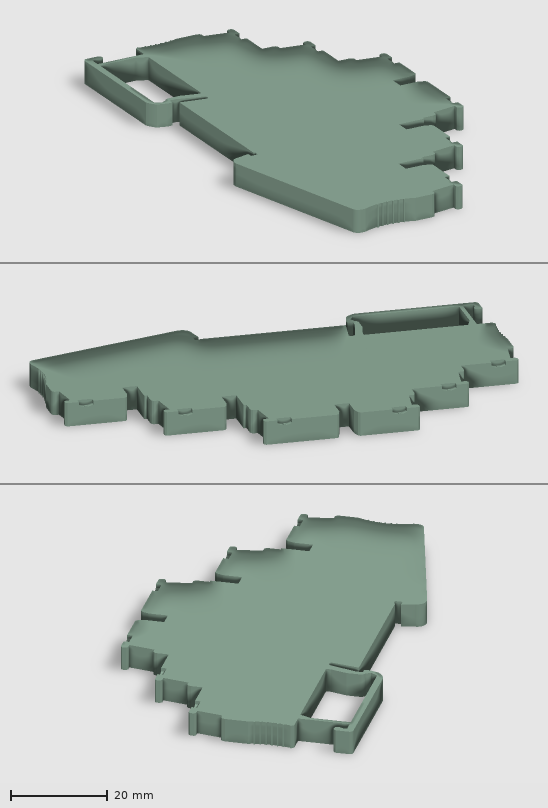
import cadquery as cq
import math

LENGTH = 99.5
THICKNESS = 5.2

LOW_TIER_TOP = 35.3
TIER_RISE = 10.6
LEFT_TIER_STEP = 13.49
RIGHT_TIER_STEP = 18.5
TIER_COUNT = 3

NECK_INSET = 2.4
NECK_TAPER = 0.9
LIP_HEIGHT = 1.6
LIP_REACH = 1.4
LIP_CHAMFER = 0.4
LEDGE_DROP = 7.2
LEDGE_ROUNDING_WIDTH = 0.5
LEDGE_ROUNDING_HEIGHT = 0.9

SLOT_WIDTH = 3.2
SLOT_DEPTH = 6.0
SLOT_WALL_STEP = 0.6
TOP_SLOT_LEFT = 41.7
SLOT_MOUTH_WIDTH = 0.9
SLOT_MOUTH_HEIGHT = 1.9

POCKET_WIDTH = 3.1
POCKET_LENGTH = 1.2
POCKET_OFFSET = 3.0
POCKET_EDGE_DEPTH = 0.8
POCKET_MIDDLE_DEPTH = 1.2
NUB_WIDTH = 0.6
NUB_LENGTH = 0.6
NUB_HEIGHT = 0.2

GRIP_TOP = 21.5
GRIP_BOTTOM = 13.2
LEFT_GRIP_EDGE = 0.3
LEFT_GRIP_DEPTH = 0.7
GRIP_LEAD_IN = 0.8
RIGHT_GRIP_TOP = 23.3
RIGHT_GRIP_BOTTOM = 11.3
RIGHT_GRIP_DEPTH = 1.2
RIB_COUNT = 6
RIB_PITCH = 1.23
FIRST_RIB = 14.8
RIB_WIDTH = 0.5
RIB_HEIGHT = 0.3

BODY_BOTTOM_LEFT = 12.5
BODY_BOTTOM = 6.1
CORNER_CHAMFER = 0.6

FOOT_LEFT = 61.7
FOOT_TOP = 4.8
FOOT_NOTCH_RIGHT = 62.9
FOOT_NOTCH_TOP = 6.4
NOSE_RADIUS = 2.0
NOSE_X = 64.4
SLOPE_START = 64.9
SLOPE_ANGLE = math.radians(15)
HEEL_RADIUS = 1.5

SLIT_END = 12.1
SLIT_END_LEFT = 30.1
SLIT_END_RIGHT = 31.4
SLIT_MOUTH_LEFT = 28.5
SLIT_MOUTH_RIGHT = 30.4
SLIT_MOUTH = 6.3

LEG_LEFT = 3.9
LEG_RIGHT = 4.8
GUSSET_WIDTH = 1.0
GUSSET_HEIGHT = 2.4
RAIL_TOP = 1.5
RAIL_END = 26.9
BARB_RIGHT = 29.7
HOOK_LEFT = 0.3
HOOK_TOP = 4.2
HOOK_RADIUS = 0.8
HOOK_EDGE_CHAMFER = 0.5
WEB_LEFT = 1.0
WEB_BOTTOM = 1.0
WEB_THICKNESS = 0.9
WEB_FILLET = 0.8


def tier_top(tier):
    return LOW_TIER_TOP + tier * TIER_RISE


def left_wall(tier):
    return tier * LEFT_TIER_STEP


def right_wall(tier):
    return LENGTH - tier * RIGHT_TIER_STEP


def tier_side(tier, wall, inward):
    """Points from the wall below the ledge up to the tier top; inward is +1 on the left, -1 on the right."""
    top = tier_top(tier)
    neck = wall + inward * NECK_INSET
    neck_foot = neck - inward * NECK_TAPER
    tip = neck - inward * LIP_REACH
    ledge = top - LEDGE_DROP
    return [
        (wall, ledge - LEDGE_ROUNDING_HEIGHT),
        (wall + inward * LEDGE_ROUNDING_WIDTH / 3, ledge - LEDGE_ROUNDING_HEIGHT / 3),
        (wall + inward * LEDGE_ROUNDING_WIDTH, ledge),
        (neck_foot, ledge),
        (neck, top - LIP_HEIGHT),
        (tip + inward * LIP_CHAMFER, top - LIP_HEIGHT),
        (tip, top - LIP_HEIGHT + LIP_CHAMFER),
        (tip, top - LIP_CHAMFER),
        (tip + inward * LIP_CHAMFER, top),
    ]


def slot_mouth(edge, top, outward):
    """Points of the sloped mouth of a slot wall, from the tier top down."""
    half = SLOT_MOUTH_WIDTH / 2
    return [
        (edge + outward * SLOT_MOUTH_WIDTH, top),
        (edge + outward * half, top - half),
        (edge, top - SLOT_MOUTH_HEIGHT),
    ]


def slot_right_side(left, top):
    """Points along the slot floor and up its right wall to the tier top."""
    floor = top - SLOT_DEPTH
    right = left + SLOT_WIDTH
    return [(left, floor), (right, floor)] + slot_mouth(right, top, 1)[::-1]


def stepped_outline():
    """Points over the tiers, from the lower left ledge to the lower right ledge."""
    points = []
    for tier in range(TIER_COUNT):
        wall = left_wall(tier)
        if tier > 0:
            points.append((wall, tier_top(tier - 1)))
        points += tier_side(tier, wall, 1)
    highest = TIER_COUNT - 1
    points += slot_mouth(TOP_SLOT_LEFT, tier_top(highest), -1)
    points += slot_right_side(TOP_SLOT_LEFT, tier_top(highest))
    for tier in range(highest, -1, -1):
        wall = right_wall(tier)
        points += tier_side(tier, wall, -1)[::-1]
        if tier > 0:
            top = tier_top(tier - 1)
            slot_left = wall + SLOT_WALL_STEP
            points += [(wall, top), (slot_left, top)]
            points += slot_right_side(slot_left, top)
    return points


def plate(sketch, height=THICKNESS):
    return sketch.close().extrude(height)


def outline():
    slope_rise = (LENGTH - SLOPE_START) * math.tan(SLOPE_ANGLE)
    heel_trim = HEEL_RADIUS * math.tan((math.pi / 2 - SLOPE_ANGLE) / 2)
    heel_start = (LENGTH, slope_rise + heel_trim)
    heel_end = (LENGTH - heel_trim * math.cos(SLOPE_ANGLE), slope_rise - heel_trim * math.sin(SLOPE_ANGLE))
    nose_diagonal = NOSE_RADIUS * math.sin(math.pi / 4)
    nose_middle = (NOSE_X - nose_diagonal, NOSE_RADIUS - nose_diagonal)
    slit_middle = (SLIT_END_LEFT + SLIT_END_RIGHT) / 2
    left_grip_middle = (GRIP_TOP + GRIP_BOTTOM) / 2
    right_grip_middle = (RIGHT_GRIP_TOP + RIGHT_GRIP_BOTTOM) / 2
    return (
        cq.Workplane("XY")
        .polyline(stepped_outline())
        .lineTo(LENGTH, RIGHT_GRIP_TOP)
        .threePointArc((LENGTH - RIGHT_GRIP_DEPTH, right_grip_middle), (LENGTH, RIGHT_GRIP_BOTTOM))
        .lineTo(*heel_start)
        .radiusArc(heel_end, HEEL_RADIUS)
        .lineTo(SLOPE_START, 0)
        .lineTo(NOSE_X, 0)
        .threePointArc(nose_middle, (NOSE_X - NOSE_RADIUS, NOSE_RADIUS))
        .lineTo(FOOT_LEFT, FOOT_TOP)
        .lineTo(FOOT_NOTCH_RIGHT, FOOT_TOP)
        .lineTo(FOOT_NOTCH_RIGHT, FOOT_NOTCH_TOP)
        .lineTo(FOOT_LEFT, FOOT_NOTCH_TOP)
        .lineTo(FOOT_LEFT, BODY_BOTTOM)
        .lineTo(SLIT_MOUTH_RIGHT, BODY_BOTTOM)
        .lineTo(SLIT_END_RIGHT, SLIT_END)
        .threePointArc((slit_middle, BODY_BOTTOM_LEFT), (SLIT_END_LEFT, SLIT_END))
        .lineTo(SLIT_MOUTH_LEFT, SLIT_MOUTH)
        .lineTo(SLIT_MOUTH_LEFT, FOOT_TOP)
        .lineTo(BARB_RIGHT, FOOT_TOP)
        .lineTo(BARB_RIGHT, 3.6)
        .lineTo(29.1, 1.5)
        .threePointArc((28.1, 0.6), (RAIL_END, 0))
        .lineTo(HOOK_LEFT + HOOK_RADIUS, 0)
        .radiusArc((HOOK_LEFT, HOOK_RADIUS), HOOK_RADIUS)
        .lineTo(HOOK_LEFT, HOOK_TOP - HOOK_EDGE_CHAMFER)
        .lineTo(HOOK_LEFT + HOOK_EDGE_CHAMFER, HOOK_TOP)
        .lineTo(1.1, HOOK_TOP)
        .threePointArc((1.8, 4.0), (2.0, 3.2))
        .lineTo(1.5, 2.2)
        .lineTo(1.7, RAIL_TOP)
        .lineTo(LEG_LEFT, RAIL_TOP)
        .lineTo(LEG_LEFT, BODY_BOTTOM_LEFT)
        .lineTo(CORNER_CHAMFER, BODY_BOTTOM_LEFT)
        .lineTo(0, GRIP_BOTTOM)
        .lineTo(LEFT_GRIP_EDGE, GRIP_BOTTOM)
        .threePointArc((LEFT_GRIP_DEPTH, left_grip_middle), (LEFT_GRIP_EDGE, GRIP_TOP))
        .lineTo(0, GRIP_TOP + GRIP_LEAD_IN)
    )


def clip_window():
    """Opening framed by the body, the leg, the rail and the barb."""
    return (
        cq.Workplane("XY")
        .moveTo(LEG_RIGHT, RAIL_TOP)
        .lineTo(27.7, RAIL_TOP)
        .lineTo(28.6, 3.0)
        .lineTo(28.0, 4.1)
        .threePointArc((27.5, 4.5), (27.3, 5.2))
        .lineTo(27.3, 8.0)
        .lineTo(28.2, 11.5)
        .lineTo(28.2, BODY_BOTTOM_LEFT)
        .lineTo(LEG_RIGHT + GUSSET_WIDTH, BODY_BOTTOM_LEFT)
        .lineTo(LEG_RIGHT, BODY_BOTTOM_LEFT - GUSSET_HEIGHT)
    )


def arc_offset(y, top, bottom, edge, depth):
    """Depth at height y of a circular arc that runs from edge at its ends to depth in its middle."""
    half_chord = (top - bottom) / 2
    sagitta = depth - edge
    radius = (half_chord**2 + sagitta**2) / (2 * sagitta)
    rise = y - (top + bottom) / 2
    return depth - radius + math.sqrt(radius**2 - rise**2)


def rib(base_x, outward, y):
    """A small tapered rib, rooted one rib height inside the grip surface."""
    root = base_x - outward * RIB_HEIGHT
    tip = base_x + outward * RIB_HEIGHT
    half = RIB_WIDTH / 2
    corners = [(root, y - half), (tip, y - half / 2), (tip, y + half / 2), (root, y + half)]
    return plate(cq.Workplane("XY").polyline(corners))


def add_grip_ribs(part):
    for index in range(RIB_COUNT):
        y = FIRST_RIB + index * RIB_PITCH
        left = arc_offset(y, GRIP_TOP, GRIP_BOTTOM, LEFT_GRIP_EDGE, LEFT_GRIP_DEPTH)
        right = arc_offset(y, RIGHT_GRIP_TOP, RIGHT_GRIP_BOTTOM, 0, RIGHT_GRIP_DEPTH)
        part = part.union(rib(left, -1, y)).union(rib(LENGTH - right, 1, y))
    return part


def hook_web():
    """Thin web closing the bottom of the gap between hook and leg."""
    web = (
        cq.Workplane("XY")
        .moveTo(WEB_LEFT, WEB_BOTTOM)
        .lineTo(LEG_LEFT, WEB_BOTTOM)
        .lineTo(LEG_LEFT, HOOK_TOP + WEB_FILLET)
        .radiusArc((LEG_LEFT - WEB_FILLET, HOOK_TOP), WEB_FILLET)
        .lineTo(WEB_LEFT, HOOK_TOP)
    )
    return plate(web, WEB_THICKNESS)


def marker_pocket(x, top):
    """Pocket with a dished floor, open at the tier top, with a small nub left on its floor."""
    half = POCKET_WIDTH / 2
    floor_edge = THICKNESS - POCKET_EDGE_DEPTH
    floor_middle = THICKNESS - POCKET_MIDDLE_DEPTH
    pocket = (
        cq.Workplane("XZ", origin=(x, top, 0))
        .moveTo(-half, THICKNESS)
        .lineTo(-half, floor_edge)
        .threePointArc((0, floor_middle), (half, floor_edge))
        .lineTo(half, THICKNESS)
        .close()
        .extrude(POCKET_LENGTH)
    )
    nub = (
        cq.Workplane("XY", origin=(x, top - NUB_LENGTH / 2, floor_middle))
        .box(NUB_WIDTH, NUB_LENGTH, 2 * NUB_HEIGHT)
    )
    return pocket.cut(nub)


def cut_marker_pockets(part):
    for tier in range(TIER_COUNT):
        left = left_wall(tier) + NECK_INSET + POCKET_OFFSET
        right = right_wall(tier) - NECK_INSET - POCKET_OFFSET
        for x in (left, right):
            part = part.cut(marker_pocket(x, tier_top(tier)))
    return part


housing = plate(outline()).cut(plate(clip_window()))
housing = add_grip_ribs(housing).union(hook_web())
result = cut_marker_pockets(housing)